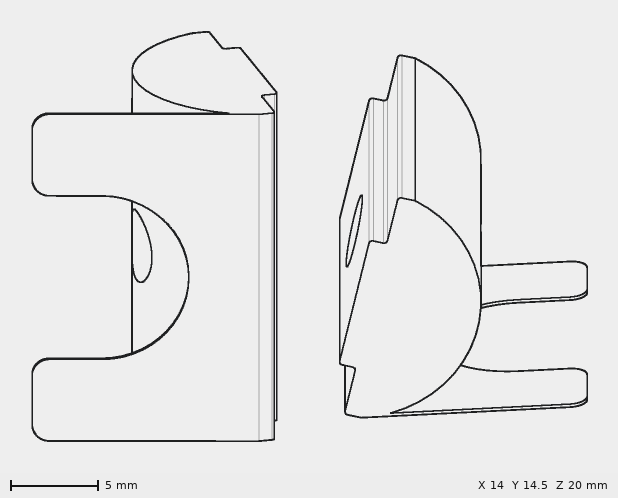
import cadquery as cq
import math

height = 20.0
body_width = 14.0
pad_width = 8.0
pad_height = 1.0
side_depth = 1.0
edge_radius = 0.2
hole_diameter = 4.2

leaf_length = 13.0
leaf_thickness = 0.2
leaf_corner_radius = 1.0
slot_width = 10.0
slot_straight = 4.0

half_width = body_width / 2
arc_start_y = -(pad_height + side_depth)
front_radius = math.hypot(half_width, arc_start_y)


def make_body():
    """Extrude the bar profile and round its back edges."""
    half_pad = pad_width / 2
    profile = (
        cq.Workplane("XY")
        .workplane(offset=-height / 2)
        .moveTo(-half_pad, 0)
        .lineTo(half_pad, 0)
        .lineTo(half_pad, -pad_height)
        .lineTo(half_width, -pad_height)
        .lineTo(half_width, arc_start_y)
        .threePointArc((0, -front_radius), (-half_width, arc_start_y))
        .lineTo(-half_width, -pad_height)
        .lineTo(-half_pad, -pad_height)
        .close()
    )
    back_edges = cq.selectors.BoxSelector(
        (-body_width, -pad_height - edge_radius, -height),
        (body_width, edge_radius, height),
    )
    return profile.extrude(height).edges("|Z").edges(back_edges).fillet(edge_radius)


def make_leaf():
    """Build the forked leaf on the plane tangent to the end of the round front."""
    outward = cq.Vector(half_width / front_radius, arc_start_y / front_radius, 0)
    along = cq.Vector(outward.y, -outward.x, 0)
    tangent_plane = cq.Plane(origin=(half_width, arc_start_y, 0), xDir=along, normal=outward)
    plate = (
        cq.Workplane(tangent_plane)
        .rect(leaf_length, height)
        .extrude(-leaf_thickness)
        .translate(along * (leaf_length / 2))
    )
    slot_radius = slot_width / 2
    slot_end = leaf_length - slot_straight
    slot = (
        cq.Workplane(tangent_plane)
        .moveTo(leaf_length, -slot_radius)
        .lineTo(slot_end, -slot_radius)
        .threePointArc((slot_end - slot_radius, 0), (slot_end, slot_radius))
        .lineTo(leaf_length, slot_radius)
        .close()
        .extrude(-leaf_thickness)
    )
    tip_edges = cq.selectors.ParallelDirSelector(outward)
    tip_box = cq.selectors.BoxSelector(
        (-body_width, arc_start_y - leaf_length, -height),
        (body_width, -front_radius - slot_straight, height),
    )
    return plate.cut(slot).edges(tip_edges).edges(tip_box).fillet(leaf_corner_radius)


def make_hole():
    """Cross hole running from the pad face out through the round front."""
    return cq.Workplane("XZ").circle(hole_diameter / 2).extrude(front_radius)


result = make_body().union(make_leaf()).cut(make_hole())